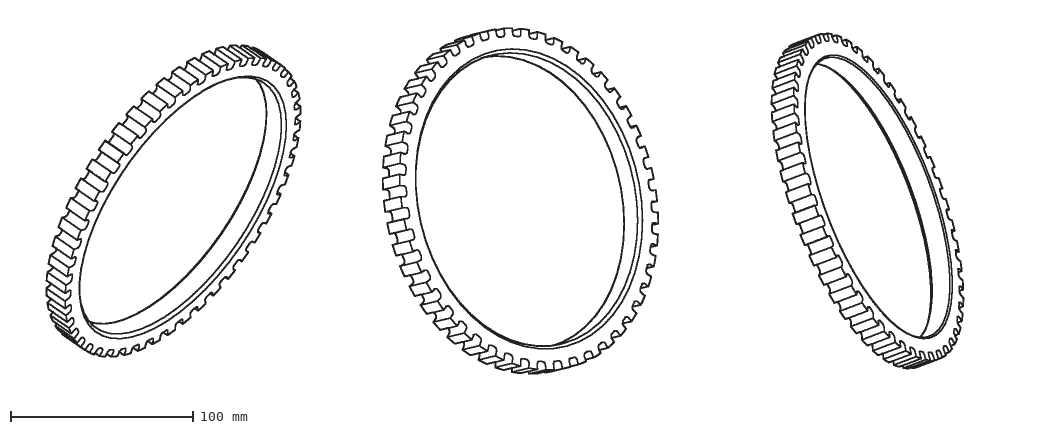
import cadquery as cq

outer_diameter = 190.0
ring_width = 14.0
bore_diameter = 163.0
front_bore_chamfer = 1.0
back_bore_chamfer = 1.9

gap_count = 48
gap_width = 6.0
gap_depth = 4.5
gap_corner_radius = 1.9
gap_overshoot = 1.9

outer_radius = outer_diameter / 2
gap_pitch_angle = 360 / gap_count
first_gap_angle = -gap_pitch_angle / 4


def make_ring():
    """Plain ring centred on the origin, with a larger bore chamfer on +X than on -X."""
    blank = cq.Workplane("YZ", origin=(-ring_width / 2, 0, 0))
    ring = blank.circle(outer_radius).circle(bore_diameter / 2).extrude(ring_width)
    bore_edge = cq.selectors.RadiusNthSelector(0)
    ring = ring.faces("<X").edges(bore_edge).chamfer(front_bore_chamfer)
    return ring.faces(">X").edges(bore_edge).chamfer(back_bore_chamfer)


def make_gap_cutter():
    """Cutter for a gap at the top of the rim: parallel sides and rounded bottom corners."""
    floor_height = outer_radius - gap_depth
    cutter_height = gap_depth + gap_overshoot
    cutter_length = ring_width + 2 * gap_overshoot
    return (
        cq.Workplane("XY", origin=(0, 0, floor_height))
        .box(cutter_length, gap_width, cutter_height, centered=(True, True, False))
        .edges("|X and <Z")
        .fillet(gap_corner_radius)
    )


result = make_ring()
gap_cutter = make_gap_cutter()
for index in range(gap_count):
    gap_angle = first_gap_angle + index * gap_pitch_angle
    result = result.cut(gap_cutter.rotate((0, 0, 0), (1, 0, 0), gap_angle))